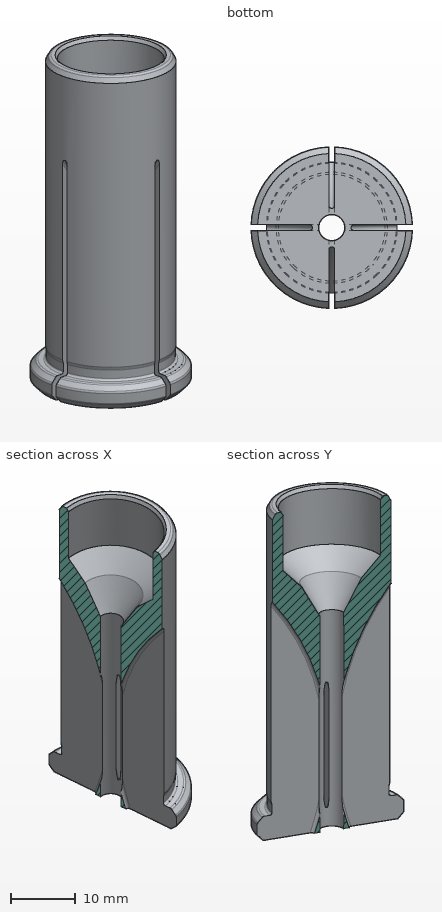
import cadquery as cq
import math

length = 54.0
hole_radius = 4.0 / 2

flange_radius = 25.0 / 2
flange_height = 4.0
flange_chamfer = 1.0
flange_round = 0.5
flange_foot_round = 0.25

neck_radius = 20.0 / 2
neck_top = 5.7
neck_fillet = 0.4
barrel_radius = 20.25 / 2
barrel_bottom = 6.25

mouth_chamfer_height = 1.0
mouth_chamfer_angle = 30.0
mouth_round = 0.5
bore_chamfer_height = 0.6

bore_radius = 16.5 / 2
bore_bottom = 44.2
seat_radius = 10.0 / 2
outer_cone_angle = 45.0
inner_cone_angle = 60.0

slot_count = 4
slot_width = 0.9
slot_curve_radius = 39.65
slot_mid_height = 13.5
slot_top = 39.25


def cone_drop(outer_radius, inner_radius, angle):
    """Height lost by a cone between two radii."""
    return (outer_radius - inner_radius) * math.tan(math.radians(angle))


def circle_edge(solid, radius, height):
    """Select the circular edge with the given radius and height about the Z axis."""
    tolerance = 0.0005
    return solid.edges("%CIRCLE").filter(
        lambda edge: abs(edge.radius() - radius) < tolerance
        and abs(edge.Center().z - height) < tolerance
    )


def make_body():
    """Turned sleeve: flange, neck, barrel, bore, cones and central hole."""
    flange_face_radius = flange_radius - flange_chamfer
    mouth_slope = math.tan(math.radians(mouth_chamfer_angle))
    mouth_radius = barrel_radius - mouth_chamfer_height * mouth_slope
    seat_height = bore_bottom - cone_drop(bore_radius, seat_radius, outer_cone_angle)
    hole_top = seat_height - cone_drop(seat_radius, hole_radius, inner_cone_angle)

    profile = [
        (hole_radius, 0),
        (flange_face_radius, 0),
        (flange_radius, flange_chamfer),
        (flange_radius, flange_height - flange_chamfer),
        (flange_face_radius, flange_height),
        (neck_radius, flange_height),
        (neck_radius, neck_top),
        (barrel_radius, barrel_bottom),
        (barrel_radius, length - mouth_chamfer_height),
        (mouth_radius, length),
        (bore_radius + bore_chamfer_height * mouth_slope, length),
        (bore_radius, length - bore_chamfer_height),
        (bore_radius, bore_bottom),
        (seat_radius, seat_height),
        (hole_radius, hole_top),
    ]
    body = cq.Workplane("XZ").polyline(profile).close().revolve(360, (0, 0), (0, 1))

    body = circle_edge(body, flange_radius, flange_height - flange_chamfer).fillet(flange_round)
    body = circle_edge(body, flange_face_radius, flange_height).fillet(flange_round)
    body = circle_edge(body, flange_radius, flange_chamfer).fillet(flange_foot_round)
    body = circle_edge(body, neck_radius, flange_height).fillet(neck_fillet)
    return circle_edge(body, mouth_radius, length).fillet(mouth_round)


def make_slot_cutter():
    """Disc with a fully rounded rim that cuts the slot on the +Y side."""
    half_width = slot_width / 2
    half_height = slot_top - slot_mid_height
    disc_center = barrel_radius + math.sqrt(slot_curve_radius**2 - half_height**2)
    rim_start = slot_curve_radius - half_width
    return (
        cq.Workplane("XY", origin=(0, disc_center, slot_mid_height))
        .moveTo(-half_width, 0)
        .lineTo(-half_width, -rim_start)
        .threePointArc((0, -slot_curve_radius), (half_width, -rim_start))
        .lineTo(half_width, 0)
        .close()
        .revolve(360, (0, 0), (1, 0))
    )


result = make_body()
slot_cutter = make_slot_cutter()
for index in range(slot_count):
    result = result.cut(slot_cutter.rotate((0, 0, 0), (0, 0, 1), index * 360 / slot_count))